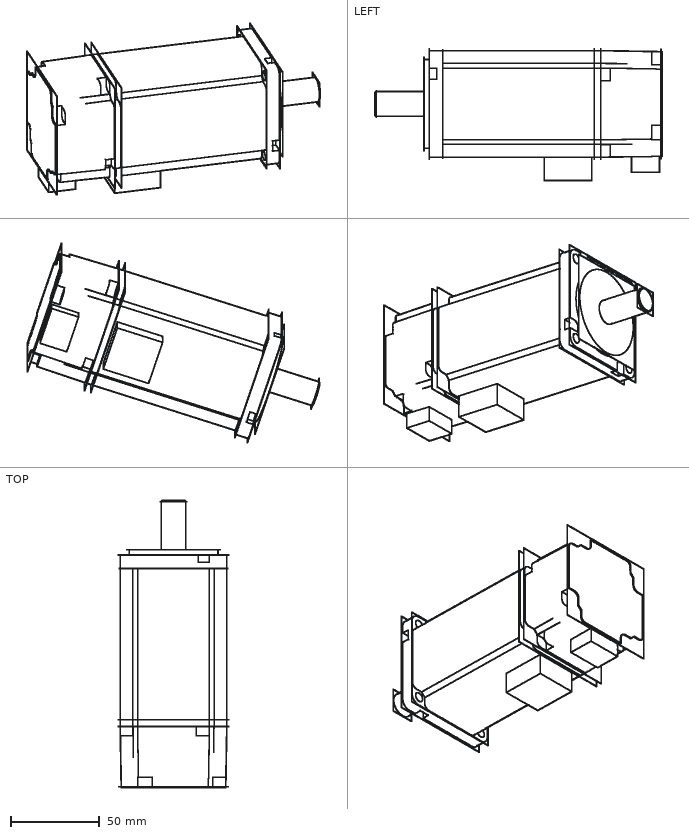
import cadquery as cq
import math


shaft_tip_y = 30.6
pilot_height = 2.9
flange_rear_y = -7.8
stator_rear_y = -93.0
ring_rear_y = -96.8
cap_rear_y = -131.3

shaft_diameter = 14.1
shaft_chamfer = 0.6
pilot_diameter = 50.2

body_width = 60.2
body_half = body_width / 2
lobe_half = 20.2
lobe_radius = 3.2
corner_bevel = 2.6
cap_draft = 1.0

flange_corner_radius = 4.9
mount_hole_diameter = 5.5
mount_hole_offset = 24.8

notch_radius = 3.5
flange_notch_inner = 14.0
flange_notch_length = 4.2
cap_front_notch_inner = 13.0
cap_front_notch_length = 5.2
notch_depth = 7.1
notch_floor = body_half - notch_depth
cap_rear_notch_inner = 12.0
cap_rear_notch_length = 5.8
cap_rear_notch_floor = 22.0

plate_thickness = 0.2
main_plate_width = 62.3
flange_rear_plate_width = 61.2
pilot_plate_width = 52.6
cap_plate_width = 61.5
cap_plate_setback = 0.6
shaft_plate_width = 14.7

overall_height = 74.3
power_width = 25.3
power_front_y = -64.8
power_rear_y = -91.6
power_bottom_z = main_plate_width / 2 - overall_height
signal_width = 21.4
signal_front_y = -114.0
signal_rear_y = -129.9
signal_bottom_z = -38.5


def section_at(y):
    """Workplane across the axis at y; its extrusions run toward -Y."""
    return cq.Workplane("XZ", origin=(0, y, 0))


def plate(width, front_y):
    """Thin square plate centred on the axis."""
    return section_at(front_y).rect(width, width).extrude(plate_thickness)


def lobed_outline(y):
    """Square outline with a bevelled inside corner between rounded lobes."""
    shoulder = lobe_half + corner_bevel
    flat_half = lobe_half - lobe_radius
    side_flat = body_half - lobe_radius
    arc_far = lobe_radius * math.sqrt(0.5)
    corner = [
        (flat_half, body_half),
        (flat_half + arc_far, side_flat + arc_far),
        (lobe_half, side_flat),
        (lobe_half, shoulder),
        (shoulder, lobe_half),
        (side_flat, lobe_half),
        (side_flat + arc_far, flat_half + arc_far),
        (body_half, flat_half),
    ]
    outline = section_at(y).moveTo(-flat_half, body_half)
    for _ in range(4):
        outline = (
            outline.lineTo(*corner[0])
            .threePointArc(corner[1], corner[2])
            .lineTo(*corner[3])
            .lineTo(*corner[4])
            .lineTo(*corner[5])
            .threePointArc(corner[6], corner[7])
        )
        corner = [(v, -u) for u, v in corner]
    return outline.close()


def screw_notches(side, inner, floor, front_y, length):
    """Four notches from inner to the lobe wall; side is the X sign of the one in the top lobe."""
    width = lobe_half - inner
    height = body_width - floor
    notch = (
        section_at(front_y)
        .center(side * (inner + width / 2), floor + height / 2)
        .rect(width, height)
        .extrude(length)
        .edges("|Y and <Z")
        .edges("<X" if side > 0 else ">X")
        .fillet(notch_radius)
    )
    notches = cq.Workplane("XZ")
    for quarter in range(4):
        notches = notches.union(notch.rotate((0, 0, 0), (0, 1, 0), 90 * quarter))
    return notches


def make_shaft():
    length = shaft_tip_y - flange_rear_y
    shaft = section_at(shaft_tip_y).circle(shaft_diameter / 2).extrude(length)
    shaft = shaft.faces(">Y").chamfer(shaft_chamfer)
    return shaft.union(plate(shaft_plate_width, shaft_tip_y - shaft_chamfer))


def make_flange():
    flange = (
        section_at(0)
        .rect(body_width, body_width)
        .extrude(-flange_rear_y)
        .edges("|Y")
        .fillet(flange_corner_radius)
    )
    flange = flange.cut(
        screw_notches(1, flange_notch_inner, notch_floor, 0, flange_notch_length)
    )
    pilot = section_at(pilot_height).circle(pilot_diameter / 2).extrude(pilot_height)
    flange = (
        flange.union(pilot)
        .union(plate(pilot_plate_width, pilot_height))
        .union(plate(main_plate_width, 0))
        .union(plate(flange_rear_plate_width, flange_rear_y + plate_thickness))
    )
    bore = section_at(pilot_height).circle(shaft_diameter / 2).extrude(pilot_height - flange_rear_y)
    mount_holes = (
        section_at(0)
        .rect(2 * mount_hole_offset, 2 * mount_hole_offset, forConstruction=True)
        .vertices()
        .circle(mount_hole_diameter / 2)
        .extrude(-flange_rear_y)
    )
    return flange.cut(bore).cut(mount_holes)


def make_stator():
    return lobed_outline(flange_rear_y).extrude(flange_rear_y - stator_rear_y)


def make_ring():
    ring = lobed_outline(stator_rear_y).extrude(stator_rear_y - ring_rear_y)
    front_plate = plate(main_plate_width, stator_rear_y)
    rear_plate = plate(main_plate_width, ring_rear_y + plate_thickness)
    return ring.union(front_plate).union(rear_plate)


def make_cap():
    cap = lobed_outline(ring_rear_y).extrude(ring_rear_y - cap_rear_y, taper=cap_draft)
    front_notches = screw_notches(
        1, cap_front_notch_inner, notch_floor, ring_rear_y, cap_front_notch_length
    )
    rear_notches = screw_notches(
        -1,
        cap_rear_notch_inner,
        cap_rear_notch_floor,
        cap_rear_y + cap_rear_notch_length,
        cap_rear_notch_length,
    )
    rear_plate = plate(cap_plate_width, cap_rear_y + cap_plate_setback)
    return cap.cut(front_notches).cut(rear_notches).union(rear_plate)


def make_connector(width, front_y, rear_y, bottom_z, carrier):
    """Block that hangs below a carrier body and fits its underside."""
    block = (
        section_at(front_y)
        .center(0, bottom_z / 2)
        .rect(width, -bottom_z)
        .extrude(front_y - rear_y)
    )
    return block.cut(carrier)


shaft = make_shaft()
flange = make_flange()
stator = make_stator()
ring = make_ring()
cap = make_cap()
power_connector = make_connector(power_width, power_front_y, power_rear_y, power_bottom_z, stator)
signal_connector = make_connector(signal_width, signal_front_y, signal_rear_y, signal_bottom_z, cap)

result = cq.Compound.makeCompound([
    shaft.val(),
    flange.val(),
    stator.val(),
    ring.val(),
    cap.val(),
    power_connector.val(),
    signal_connector.val(),
])